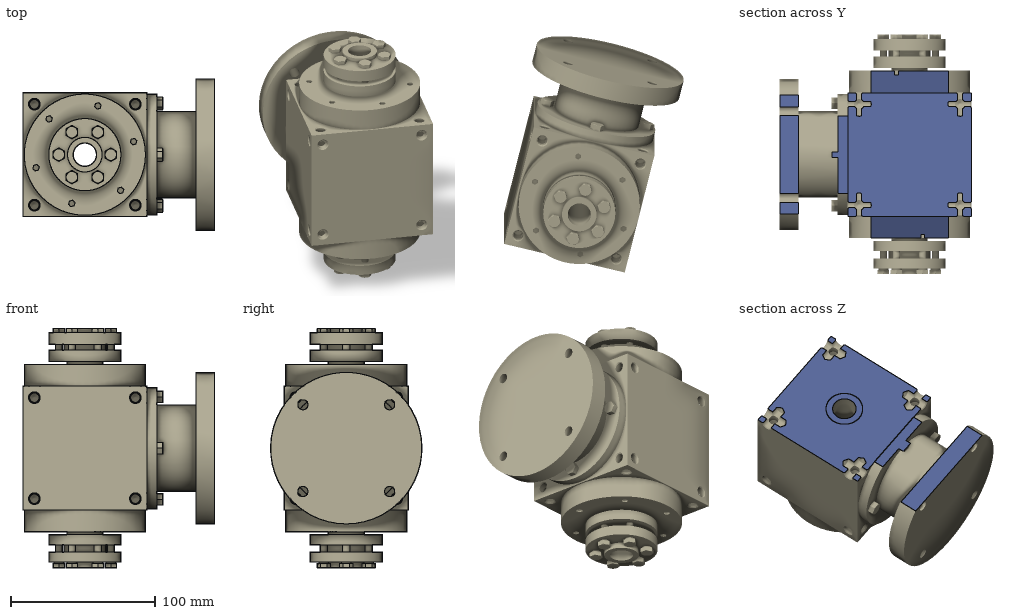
import cadquery as cq
import math

housing_side = 86
half_side = housing_side / 2

corner_hole_offset = 35
corner_hole_diameter = 6.65
corner_hole_mouth_diameter = 8
corner_hole_depth = 16
drill_point_angle = 118

cap_diameter = 84
cap_thickness = 15
cap_end = half_side + cap_thickness
cap_screw_circle = 70
cap_screw_count = 6
cap_screw_first_angle = 15
cap_screw_head_diameter = 8.5
cap_screw_head_height = 5
socket_across_flats = 4
socket_depth = 2.5

shaft_shoulder_diameter = 25
shaft_end_diameter = 24
shaft_bore = 16
shaft_half_length = 83

disc_diameter = 50
disc_inner_ring_diameter = 29
disc_gap_from_cap = 2
disc_start = cap_end + disc_gap_from_cap
second_ring_offset = 12
upper_ring_thickness = 8
lower_ring_thickness = 7

clamp_bolt_circle = 36
clamp_bolt_count = 6
clamp_shank_diameter = 5
hex_across_flats = 8
hex_chamfer_angle = 30
washer_face_diameter = 6.88
clamp_head_height = 3
plate_bolt_circle = 71
plate_bolt_count = 4
plate_bolt_head_height = 4

input_plate_diameter = cap_diameter
input_plate_thickness = 7
input_neck_diameter = 60
input_flange_diameter = 105
input_flange_thickness = 13
input_flange_end = 90
input_flange_start = input_flange_end - input_flange_thickness
flange_hole_diameter = 7
flange_hole_circle = 85
flange_hole_count = 4
flange_hole_first_angle = 45


def circle_positions(circle_diameter, count, first_angle):
    """Evenly spaced points on a circle about the origin."""
    radius = circle_diameter / 2
    angles = [math.radians(first_angle + 360 / count * i) for i in range(count)]
    return [(radius * math.cos(a), radius * math.sin(a)) for a in angles]


def disc(diameter, bottom, top):
    """Solid cylinder on the Z axis between two heights."""
    return cq.Workplane("XY").workplane(offset=bottom).circle(diameter / 2).extrude(top - bottom)


def hexagon(across_flats, bottom, top):
    """Hexagonal prism on the Z axis with two of its corners along X."""
    across_corners = across_flats / math.cos(math.radians(30))
    return cq.Workplane("XY").workplane(offset=bottom).polygon(6, across_corners).extrude(top - bottom)


def make_hex_head(bottom, height):
    """Hexagon bolt head, corners along Y, with its top corners turned off to a cone."""
    top = bottom + height
    top_radius = hex_across_flats / 2
    base_radius = top_radius + height / math.tan(math.radians(hex_chamfer_angle))
    cone = (
        cq.Workplane("XZ")
        .moveTo(0, bottom)
        .lineTo(base_radius, bottom)
        .lineTo(top_radius, top)
        .lineTo(0, top)
        .close()
        .revolve(360, (0, 0, 0), (0, 1, 0))
    )
    head = hexagon(hex_across_flats, bottom, top).rotate((0, 0, 0), (0, 0, 1), 90)
    return head.intersect(cone)


def make_corner_hole_cutter():
    """Countersunk drilled hole with a conical bottom, sunk from the top of the housing."""
    radius = corner_hole_diameter / 2
    mouth_radius = corner_hole_mouth_diameter / 2
    chamfer = mouth_radius - radius
    point_height = radius / math.tan(math.radians(drill_point_angle / 2))
    return (
        cq.Workplane("XZ")
        .moveTo(0, half_side)
        .lineTo(mouth_radius, half_side)
        .lineTo(radius, half_side - chamfer)
        .lineTo(radius, half_side - corner_hole_depth)
        .lineTo(0, half_side - corner_hole_depth - point_height)
        .close()
        .revolve(360, (0, 0, 0), (0, 1, 0))
    )


def make_housing():
    body = cq.Workplane("XY").box(housing_side, housing_side, housing_side)
    body = body.cut(disc(shaft_shoulder_diameter, -half_side, half_side))
    cutter = make_corner_hole_cutter()
    face_turns = [((1, 0, 0), angle) for angle in (0, 90, 180, 270)]
    face_turns += [((0, 1, 0), angle) for angle in (90, 270)]
    for axis, angle in face_turns:
        for x in (-corner_hole_offset, corner_hole_offset):
            for y in (-corner_hole_offset, corner_hole_offset):
                hole = cutter.translate((x, y, 0)).rotate((0, 0, 0), axis, angle)
                body = body.cut(hole)
    return body


def make_cap():
    """Upper cap; its socket screws sit flush in the outer face."""
    cap = disc(cap_diameter, half_side, cap_end)
    cap = cap.cut(disc(shaft_shoulder_diameter, half_side, cap_end))
    head_bottom = cap_end - cap_screw_head_height
    head = disc(cap_screw_head_diameter, head_bottom, cap_end)
    socket = hexagon(socket_across_flats, cap_end - socket_depth, cap_end)
    socket = socket.rotate((0, 0, 0), (0, 0, 1), cap_screw_first_angle)
    screw_head = head.cut(socket)
    positions = circle_positions(cap_screw_circle, cap_screw_count, cap_screw_first_angle)
    for x, y in positions:
        cap = cap.cut(head.translate((x, y, 0)))
    for x, y in positions:
        cap = cap.union(screw_head.translate((x, y, 0)), clean=False)
    return cap


def make_shaft():
    shaft = disc(shaft_end_diameter, -shaft_half_length, shaft_half_length)
    shaft = shaft.union(disc(shaft_shoulder_diameter, -disc_start, disc_start))
    return shaft.cut(disc(shaft_bore, -shaft_half_length, shaft_half_length))


def make_shrink_disc(ring_thickness):
    """Two rings on a common sleeve, pulled together by six hexagon bolts; outer end upward."""
    second_start = disc_start + second_ring_offset
    disc_end = second_start + ring_thickness
    head_start = shaft_half_length - clamp_head_height
    body = disc(disc_inner_ring_diameter, disc_start, disc_end)
    body = body.union(disc(disc_diameter, disc_start, disc_start + ring_thickness))
    body = body.union(disc(disc_diameter, second_start, disc_end))
    head = make_hex_head(head_start, clamp_head_height)
    bolt = head.union(disc(clamp_shank_diameter, disc_start, head_start))
    if head_start > disc_end:
        bolt = bolt.union(disc(washer_face_diameter, disc_end, head_start))
    for x, y in circle_positions(clamp_bolt_circle, clamp_bolt_count, 0):
        body = body.union(bolt.translate((x, y, 0)))
    return body.cut(disc(shaft_end_diameter, disc_start, disc_end))


def make_input_flange():
    """Bolted plate, neck and mounting flange, modelled along Z and then turned to +X."""
    plate_end = half_side + input_plate_thickness
    body = disc(input_plate_diameter, half_side, plate_end)
    body = body.union(disc(input_neck_diameter, plate_end, input_flange_start))
    body = body.union(disc(input_flange_diameter, input_flange_start, input_flange_end))
    for x, y in circle_positions(flange_hole_circle, flange_hole_count, flange_hole_first_angle):
        hole = disc(flange_hole_diameter, input_flange_start, input_flange_end)
        body = body.cut(hole.translate((x, y, 0)))
    head = make_hex_head(plate_end, plate_bolt_head_height)
    for x, y in circle_positions(plate_bolt_circle, plate_bolt_count, 0):
        body = body.union(head.translate((x, y, 0)))
    return body.rotate((0, 0, 0), (0, 1, 0), 90)


def flip_to_bottom(body):
    """Turn an upper body over onto the lower side of the housing."""
    return body.rotate((0, 0, 0), (1, 0, 0), 180)


housing = make_housing()
upper_cap = make_cap()
lower_cap = flip_to_bottom(make_cap())
shaft = make_shaft()
upper_shrink_disc = make_shrink_disc(upper_ring_thickness)
lower_shrink_disc = flip_to_bottom(make_shrink_disc(lower_ring_thickness))
input_flange = make_input_flange()

result = cq.Compound.makeCompound([
    housing.val(),
    upper_cap.val(),
    lower_cap.val(),
    shaft.val(),
    upper_shrink_disc.val(),
    lower_shrink_disc.val(),
    input_flange.val(),
])